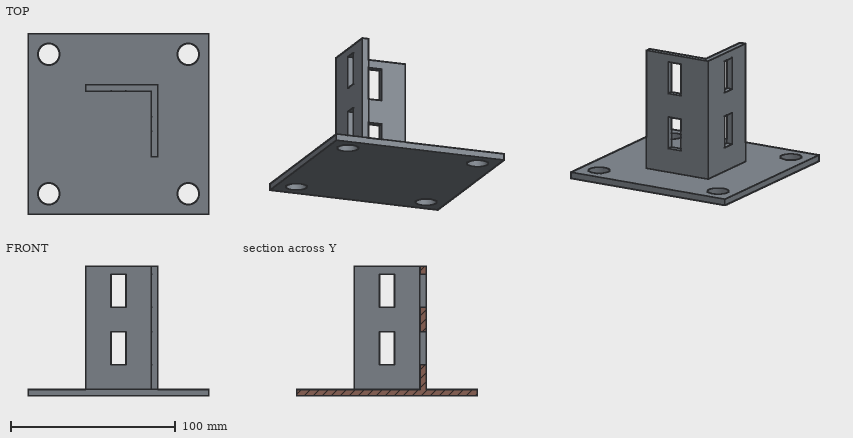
import cadquery as cq

plate_side = 110.0
plate_thickness = 4.0
bolt_hole_diameter = 13.0
bolt_hole_spacing = 85.0

angle_height = 75.0
leg_thickness = 4.0
leg_inner_width = 40.0
leg_outer_width = leg_inner_width + leg_thickness
inner_start = -leg_inner_width / 2
outer_face = inner_start + leg_outer_width
leg_middle = outer_face - leg_thickness / 2

slot_width = 9.0
slot_height = 20.0
slot_pitch = 35.0
slot_top_margin = 5.0
slot_cut_depth = 2 * leg_thickness

total_height = plate_thickness + angle_height
upper_slot_z = total_height - slot_top_margin - slot_height / 2
slot_heights = [upper_slot_z, upper_slot_z - slot_pitch]


def base_plate():
    """Square plate with a bolt hole near each corner."""
    plate = cq.Workplane("XY").box(
        plate_side, plate_side, plate_thickness, centered=(True, True, False)
    )
    return (
        plate.faces(">Z").workplane()
        .rect(bolt_hole_spacing, bolt_hole_spacing, forConstruction=True)
        .vertices()
        .hole(bolt_hole_diameter)
    )


def upright_angle():
    """L-section standing on the plate."""
    inner_corner = outer_face - leg_thickness
    return (
        cq.Workplane("XY", origin=(0, 0, plate_thickness))
        .moveTo(inner_start, outer_face)
        .lineTo(outer_face, outer_face)
        .lineTo(outer_face, inner_start)
        .lineTo(inner_corner, inner_start)
        .lineTo(inner_corner, inner_corner)
        .lineTo(inner_start, inner_corner)
        .close()
        .extrude(angle_height)
    )


def cut_slots(body):
    """Cut the rectangular slots through both legs."""
    for slot_z in slot_heights:
        slot_in_y_leg = cq.Workplane("XY").box(slot_width, slot_cut_depth, slot_height)
        slot_in_x_leg = cq.Workplane("XY").box(slot_cut_depth, slot_width, slot_height)
        body = body.cut(slot_in_y_leg.translate((0, leg_middle, slot_z)))
        body = body.cut(slot_in_x_leg.translate((leg_middle, 0, slot_z)))
    return body


result = base_plate().union(cut_slots(upright_angle()))